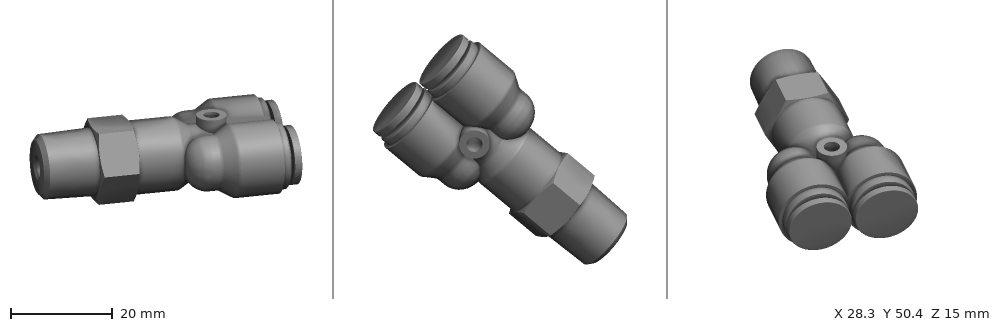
import cadquery as cq
import math

THREAD_END = -25.2
HEX_BOTTOM = -14.25
HEX_TOP = -6.2
STEM_CONE_BASE = 2.7
LOBE_TIP = 2.8
LOBE_CONE_BASE = 12.35
LOBE_TOP = 21.4
COLLAR_TOP = 23.05
FLANGE_BOTTOM = 23.75
FLANGE_TOP = 25.2

LOBE_OFFSET = 6.8
BODY_RADIUS = 14.7 / 2
WAIST_RADIUS = 5.5
CONE_LENGTH = 3.05
CONE_FILLET = 1.0
LOBE_TIP_FILLET = 4.6

BOSS_Y = 10.3
BOSS_DIAMETER = 6.0
BOSS_HOLE_DIAMETER = 3.2
BOSS_HEIGHT = 2 * BODY_RADIUS

HEX_FLATS = 15.0
HEX_CORNERS = HEX_FLATS / math.cos(math.pi / 6)
HEX_CHAMFER_ANGLE = math.radians(20)
HEX_FACE_RADIUS = 7.35
THREAD_BASE_RADIUS = 6.75
THREAD_TIP_RADIUS = 6.45
THREAD_CHAMFER_RADIAL = 1.05
THREAD_CHAMFER_AXIAL = 0.95
BORE_DIAMETER = 4.0
BORE_CHAMFER = 0.5

COLLAR_RADIUS = 13.15 / 2
COLLAR_CHAMFER = 0.3
SLEEVE_NECK_DIAMETER = 7.5
FLANGE_WIDTH = 12.9
FLANGE_HEIGHT = 11.55
FLANGE_FILLET = 0.15


def turned(points):
    """Revolve an outline of (radius, y) points around the Y axis."""
    return cq.Workplane("XY").polyline(points).close().revolve(360, (0, 0, 0), (0, 1, 0))


def disc(diameter, bottom, top):
    """Cylinder along Y from bottom to top."""
    return turned([(0, bottom), (diameter / 2, bottom), (diameter / 2, top), (0, top)])


def ring_edges(body, *heights):
    """Circular edges of a turned body whose centres lie at the given Y positions."""
    reach = 2 * BODY_RADIUS
    tolerance = 0.005
    picked = body.newObject([])
    for y in heights:
        box = cq.selectors.BoxSelector((-reach, y - tolerance, -reach), (reach, y + tolerance, reach))
        picked = picked.add(body.edges(box))
    return picked


def make_lobe():
    cone_top = LOBE_CONE_BASE
    cone_bottom = cone_top - CONE_LENGTH
    lobe = turned([
        (0, LOBE_TIP),
        (WAIST_RADIUS, LOBE_TIP),
        (WAIST_RADIUS, cone_bottom),
        (BODY_RADIUS, cone_top),
        (BODY_RADIUS, LOBE_TOP),
        (0, LOBE_TOP),
    ])
    lobe = ring_edges(lobe, cone_bottom, cone_top).fillet(CONE_FILLET)
    return ring_edges(lobe, LOBE_TIP).fillet(LOBE_TIP_FILLET)


def make_stem():
    cone_top = STEM_CONE_BASE + CONE_LENGTH
    stem = turned([
        (0, HEX_TOP),
        (BODY_RADIUS, HEX_TOP),
        (BODY_RADIUS, STEM_CONE_BASE),
        (WAIST_RADIUS, cone_top),
        (WAIST_RADIUS, BOSS_Y),
        (0, BOSS_Y),
    ])
    return ring_edges(stem, STEM_CONE_BASE, cone_top).fillet(CONE_FILLET)


def boss_cylinder(diameter):
    return cq.Workplane("XY").center(0, BOSS_Y).circle(diameter / 2).extrude(BOSS_HEIGHT / 2, both=True)


def make_housing():
    housing = make_stem()
    for side in (-1, 1):
        housing = housing.union(make_lobe().translate((side * LOBE_OFFSET, 0, 0)))
    return housing.union(boss_cylinder(BOSS_DIAMETER)).cut(boss_cylinder(BOSS_HOLE_DIAMETER))


def make_hex():
    """Hexagon with flats facing +Z and -Z and its corners chamfered at both ends."""
    hexagon = (
        cq.Workplane("XZ", origin=(0, HEX_TOP, 0))
        .polygon(6, HEX_CORNERS)
        .extrude(HEX_TOP - HEX_BOTTOM)
    )
    corner_radius = HEX_CORNERS / 2
    drop = (corner_radius - HEX_FACE_RADIUS) * math.tan(HEX_CHAMFER_ANGLE)
    envelope = turned([
        (0, HEX_BOTTOM),
        (HEX_FACE_RADIUS, HEX_BOTTOM),
        (corner_radius, HEX_BOTTOM + drop),
        (corner_radius, HEX_TOP - drop),
        (HEX_FACE_RADIUS, HEX_TOP),
        (0, HEX_TOP),
    ])
    return hexagon.intersect(envelope)


def make_connector():
    thread = turned([
        (0, THREAD_END),
        (THREAD_TIP_RADIUS - THREAD_CHAMFER_RADIAL, THREAD_END),
        (THREAD_TIP_RADIUS, THREAD_END + THREAD_CHAMFER_AXIAL),
        (THREAD_BASE_RADIUS, HEX_BOTTOM),
        (0, HEX_BOTTOM),
    ])
    bore_radius = BORE_DIAMETER / 2
    bore = turned([
        (0, THREAD_END),
        (bore_radius + BORE_CHAMFER, THREAD_END),
        (bore_radius, THREAD_END + BORE_CHAMFER),
        (bore_radius, HEX_TOP),
        (0, HEX_TOP),
    ])
    return make_hex().union(thread).cut(bore)


def make_collar(x):
    collar = disc(2 * COLLAR_RADIUS, LOBE_TOP, COLLAR_TOP).faces(">Y").chamfer(COLLAR_CHAMFER)
    return collar.translate((x, 0, 0))


def make_sleeve(x):
    """Release sleeve: a round neck carrying an oval flange."""
    flange = (
        cq.Workplane("XZ", origin=(0, FLANGE_TOP, 0))
        .ellipse(FLANGE_WIDTH / 2, FLANGE_HEIGHT / 2)
        .extrude(FLANGE_TOP - FLANGE_BOTTOM)
        .faces(">Y").edges().fillet(FLANGE_FILLET)
    )
    neck = disc(SLEEVE_NECK_DIAMETER, COLLAR_TOP, FLANGE_BOTTOM)
    return neck.union(flange).translate((x, 0, 0))


housing = make_housing()
connector = make_connector()
collars = []
sleeves = []
for side in (-1, 1):
    collars.append(make_collar(side * LOBE_OFFSET).val())
    sleeves.append(make_sleeve(side * LOBE_OFFSET).val())

result = cq.Compound.makeCompound([housing.val(), connector.val(), *collars, *sleeves])